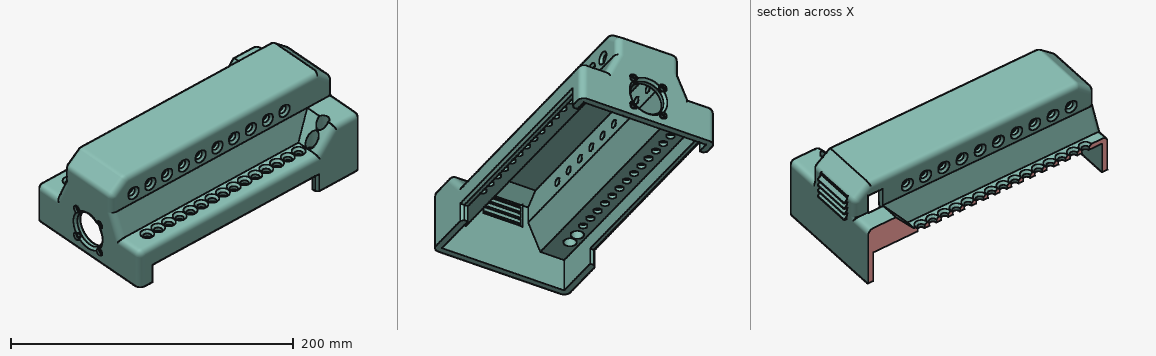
import cadquery as cq

LENGTH = 210.0
WIDTH = 110.0
HEIGHT = 75.5
WALL = 5.0
EDGE_RADIUS = 5.0
THROUGH = 2 * WALL
PICK_MARGIN = 1.0
FRONT = -LENGTH / 2
BACK = LENGTH / 2

LEDGE_Z = 31.7
SHOULDER_Z = 50.0
SHOULDER_LENGTH = 24.5
RAMP_RUN = 15.8
SHOULDER_FRONT = BACK - SHOULDER_LENGTH
RAMP_FOOT = SHOULDER_FRONT - RAMP_RUN

TOWER_WIDTH = 51.0
FLARE_RUN = 8.25
FLARE_PER_HEIGHT = FLARE_RUN / (SHOULDER_Z - LEDGE_Z)
END_BEVEL_LENGTH = 13.5
END_BEVEL_HEIGHT = 11.0

VENT_DIAMETER = 6.0
VENT_CHAMFER = 2.0
LEDGE_VENT_COUNT = 15
LEDGE_VENT_PITCH = 10.27
LEDGE_VENT_X = 41.25
LEDGE_VENT_FIRST_Y = 58.2
TOWER_VENT_COUNT = 10
TOWER_VENT_PITCH = 15.93
TOWER_VENT_FIRST_Y = 58.9
TOWER_VENT_Z = 58.3

PORT_DIAMETER = 27.0
PORT_CHAMFER = 2.0
PORT_Z = 20.7
SCREW_DIAMETER = 3.3
SCREW_HEAD_DIAMETER = 5.9
SCREW_HEAD_DEPTH = 2.0
SCREW_SPACING = 24.0

CABLE_DIAMETER = 9.5
CABLE_X = 43.0
CABLE_YS = (79.6, 69.4)

WINDOW_LENGTH = 12.7
WINDOW_TOP_Z = SHOULDER_Z + 15.4
WINDOW_SILL_Z = SHOULDER_Z - 6.0
WINDOW_OUTER_X = -TOWER_WIDTH / 2 - 0.6

NOTCH_FRONT = FRONT + 14.1
NOTCH_BACK = BACK - 41.6
NOTCH_HEIGHT = 13.4
NOTCH_CHAMFER = 2.0

LOUVRE_WIDTH = 32.0
LOUVRE_COUNT = 4
LOUVRE_PITCH = 5.15
LOUVRE_TOP_TIP_Z = 59.0
LOUVRE_PROJECTION = 2.3
LOUVRE_TIP = 0.5
LOUVRE_RISE = 3.0
LOUVRE_INNER_Y = BACK - 2.0


def base_block():
    """Sharp-edged base."""
    outline = [
        (FRONT, 0),
        (BACK, 0),
        (BACK, SHOULDER_Z),
        (SHOULDER_FRONT, SHOULDER_Z),
        (RAMP_FOOT, LEDGE_Z),
        (FRONT, LEDGE_Z),
    ]
    return cq.Workplane("YZ").polyline(outline).close().extrude(WIDTH / 2, both=True)


def tower_side_profile(inset):
    """Side outline of the tower in the YZ plane, with bevelled ends."""
    floor = -inset
    bevel_z = HEIGHT - END_BEVEL_HEIGHT
    outline = [
        (FRONT, floor),
        (BACK, floor),
        (BACK, bevel_z),
        (BACK - END_BEVEL_LENGTH, HEIGHT),
        (FRONT + END_BEVEL_LENGTH, HEIGHT),
        (FRONT, bevel_z),
    ]
    return offset_outline(cq.Workplane("YZ").polyline(outline).close(), inset)


def tower_end_profile(inset):
    """End outline of the tower in the XZ plane, flared below the shoulder level."""
    floor = -inset
    half = TOWER_WIDTH / 2
    foot = half + FLARE_PER_HEIGHT * (SHOULDER_Z - floor)
    outline = [
        (-foot, floor),
        (foot, floor),
        (half, SHOULDER_Z),
        (half, HEIGHT),
        (-half, HEIGHT),
        (-half, SHOULDER_Z),
    ]
    return offset_outline(cq.Workplane("XZ").polyline(outline).close(), inset)


def offset_outline(outline, inset):
    """Shrink a closed outline by the inset, keeping its corners sharp."""
    if inset == 0:
        return outline
    return outline.offset2D(-inset, "intersection")


def tower_block(inset=0.0):
    """Sharp-edged tower, shrunk on all sides but still reaching Z = 0."""
    side = tower_side_profile(inset).extrude(WIDTH / 2, both=True)
    end = tower_end_profile(inset).extrude(LENGTH, both=True)
    return side.intersect(end)


def rounded_base():
    block = base_block().edges("|Z").fillet(EDGE_RADIUS)
    rims = block.faces("<X or >X or <Y or >Y").edges("not |Z").edges("not <Z")
    return block.newObject(rims.vals()).fillet(EDGE_RADIUS)


def rounded_tower():
    """Tower with rounded edges, except the crease above the flare and the upper edge of the back bevel."""
    block = tower_block()
    bevel_top_y = BACK - END_BEVEL_LENGTH
    creases = cq.selectors.BoxSelector(
        (-WIDTH, FRONT / 2, SHOULDER_Z - PICK_MARGIN),
        (WIDTH, BACK / 2, SHOULDER_Z + PICK_MARGIN),
    )
    back_bevel_top = cq.selectors.BoxSelector(
        (-WIDTH, bevel_top_y - PICK_MARGIN, HEIGHT - PICK_MARGIN),
        (WIDTH, bevel_top_y + PICK_MARGIN, HEIGHT + PICK_MARGIN),
    )
    rounded_edges = cq.selectors.InverseSelector(creases + back_bevel_top)
    return block.edges("not <Z").edges(rounded_edges).fillet(EDGE_RADIUS)


def shell():
    outside = rounded_base().union(rounded_tower())
    ledge_cavity = cq.Workplane("XY").box(
        WIDTH - 2 * WALL, LENGTH - 2 * WALL, LEDGE_Z - WALL, centered=(True, True, False)
    )
    cavity = ledge_cavity.union(tower_block(WALL))
    return outside.cut(cavity)


def countersunk_cutter(plane, diameter, chamfer, depth):
    """Hole cutter that starts at the plane and runs against its normal, with a conical mouth."""
    hole = cq.Workplane(plane).circle(diameter / 2).extrude(-depth)
    mouth = (
        cq.Workplane(plane)
        .circle(diameter / 2 + chamfer)
        .workplane(offset=-chamfer)
        .circle(diameter / 2)
        .loft()
    )
    return hole.union(mouth)


def vent_cutters():
    vents = []
    for side in (-1, 1):
        for index in range(LEDGE_VENT_COUNT):
            origin = (side * LEDGE_VENT_X, LEDGE_VENT_FIRST_Y - index * LEDGE_VENT_PITCH, LEDGE_Z)
            plane = cq.Plane(origin, (1, 0, 0), (0, 0, 1))
            vents.append(countersunk_cutter(plane, VENT_DIAMETER, VENT_CHAMFER, THROUGH))
        for index in range(TOWER_VENT_COUNT):
            y = TOWER_VENT_FIRST_Y - index * TOWER_VENT_PITCH
            plane = cq.Plane((side * TOWER_WIDTH / 2, y, TOWER_VENT_Z), (0, 1, 0), (side, 0, 0))
            vents.append(countersunk_cutter(plane, VENT_DIAMETER, VENT_CHAMFER, THROUGH))
    return vents


def port_cutters():
    port_plane = cq.Plane((0, FRONT, PORT_Z), (1, 0, 0), (0, -1, 0))
    port = countersunk_cutter(port_plane, PORT_DIAMETER, PORT_CHAMFER, THROUGH)
    screws = cq.Workplane(port_plane).rect(SCREW_SPACING, SCREW_SPACING, forConstruction=True).vertices()
    holes = screws.circle(SCREW_DIAMETER / 2).extrude(-THROUGH)
    heads = screws.circle(SCREW_HEAD_DIAMETER / 2).extrude(-SCREW_HEAD_DEPTH)
    return [port, holes, heads]


def cable_cutter():
    holes = [(CABLE_X, y) for y in CABLE_YS]
    return cq.Workplane("XY").pushPoints(holes).circle(CABLE_DIAMETER / 2).extrude(HEIGHT)


def window_cutter():
    opening = cq.Workplane("XY").box(
        THROUGH, WINDOW_LENGTH, WINDOW_TOP_Z - WINDOW_SILL_Z, centered=False
    )
    return opening.translate((WINDOW_OUTER_X, SHOULDER_FRONT, WINDOW_SILL_Z))


def notch_cutter():
    """Notch across both side walls, widening outwards over the chamfer depth."""
    length = NOTCH_BACK - NOTCH_FRONT
    middle = (NOTCH_FRONT + NOTCH_BACK) / 2
    notch = cq.Workplane("XY").box(WIDTH, length, 2 * NOTCH_HEIGHT).translate((0, middle, 0))
    for side in (-1, 1):
        plane = cq.Plane((side * WIDTH / 2, middle, 0), (0, 1, 0), (side, 0, 0))
        flare = (
            cq.Workplane(plane)
            .rect(length + 2 * NOTCH_CHAMFER, 2 * (NOTCH_HEIGHT + NOTCH_CHAMFER))
            .workplane(offset=-NOTCH_CHAMFER)
            .rect(length, 2 * NOTCH_HEIGHT)
            .loft()
        )
        notch = notch.union(flare)
    return notch


def louvre_slat(tip_z):
    """Slat with a flat underside and a top that slopes down at 45 degrees to a blunt outer tip."""
    tip_y = BACK + LOUVRE_PROJECTION
    outline = [
        (tip_y, tip_z),
        (tip_y - LOUVRE_RISE, tip_z + LOUVRE_RISE),
        (LOUVRE_INNER_Y, tip_z + LOUVRE_RISE),
        (LOUVRE_INNER_Y, tip_z - LOUVRE_TIP),
        (tip_y, tip_z - LOUVRE_TIP),
    ]
    return cq.Workplane("YZ").polyline(outline).close().extrude(LOUVRE_WIDTH / 2, both=True)


def add_louvres(body):
    bottom = LOUVRE_TOP_TIP_Z - (LOUVRE_COUNT - 1) * LOUVRE_PITCH
    height = LOUVRE_COUNT * LOUVRE_PITCH
    opening = cq.Workplane("XY").box(LOUVRE_WIDTH, THROUGH, height, centered=(True, True, False))
    body = body.cut(opening.translate((0, BACK, bottom)))
    for index in range(LOUVRE_COUNT):
        body = body.union(louvre_slat(bottom + index * LOUVRE_PITCH))
    return body


result = shell()
for cutter in vent_cutters() + port_cutters():
    result = result.cut(cutter)
result = result.cut(cable_cutter()).cut(window_cutter()).cut(notch_cutter())
result = add_louvres(result)